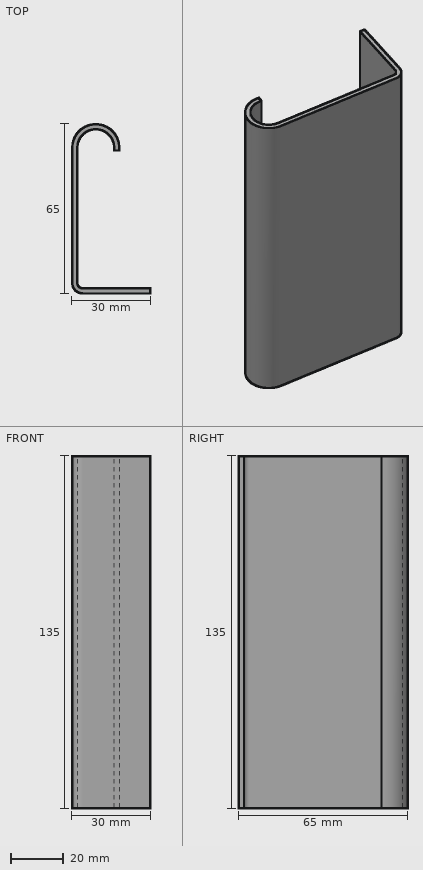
import cadquery as cq

length = 135.0
flange_width = 30.0
depth = 65.0
thickness = 2.0
bend_radius = 4.0
hook_radius = 9.0
lip_length = 1.1

inner_bend_radius = bend_radius - thickness
hook_center_y = depth - hook_radius
hook_outer_x = 2 * hook_radius
lip_end_y = hook_center_y - lip_length

profile = (
    cq.Workplane("XY")
    .moveTo(flange_width, 0)
    .lineTo(bend_radius, 0)
    .radiusArc((0, bend_radius), bend_radius)
    .lineTo(0, hook_center_y)
    .threePointArc((hook_radius, depth), (hook_outer_x, hook_center_y))
    .lineTo(hook_outer_x, lip_end_y)
    .lineTo(hook_outer_x - thickness, lip_end_y)
    .lineTo(hook_outer_x - thickness, hook_center_y)
    .threePointArc((hook_radius, depth - thickness), (thickness, hook_center_y))
    .lineTo(thickness, bend_radius)
    .radiusArc((bend_radius, thickness), -inner_bend_radius)
    .lineTo(flange_width, thickness)
    .close()
)

result = profile.extrude(length)